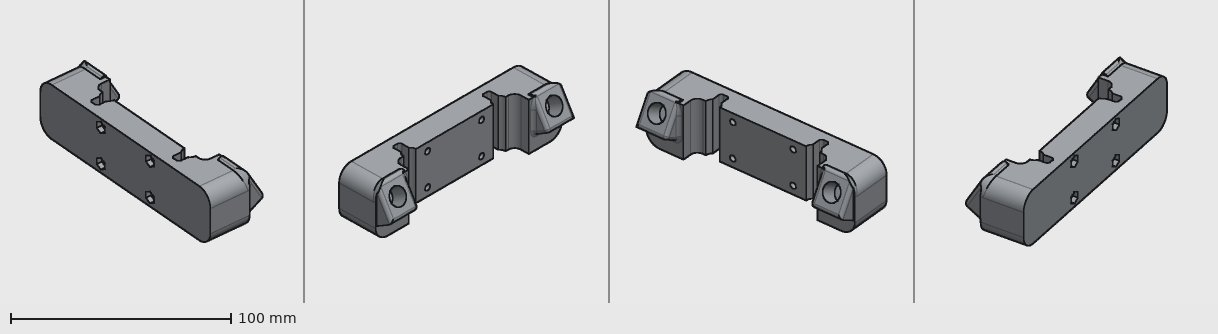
import cadquery as cq
import math

LENGTH = 121.1
BODY_DEPTH = 23.3
BODY_HEIGHT = 29.9
CORNER_RADIUS = 8.0

POCKET_WIDTH = 77.7
POCKET_FLOOR_Y = 14.2
POCKET_RADIUS = 4.0

SLOT_X = 29.1
SLOT_WIDTH = 5.0
SLOT_BOTTOM_Y = 5.2
SLOT_BOTTOM_RADIUS = 1.5
SLOT_MOUTH_DIAMETER = 8.0

HOLE_SPACING_X = 35.0
HOLE_SPACING_Z = 20.0
HOLE_DIAMETER = 3.3
NUT_ACROSS_FLATS = 5.6
NUT_DEPTH = 3.0

LUG_TILT = 30.0
LUG_TOP_Z = 30.9
LUG_BACK_Y = 32.1
LUG_HEIGHT = 20.0
LUG_DEPTH = 17.0
LUG_INNER_X = 41.8
LUG_SIDE_INSET = 0.8
LUG_EDGE_RADIUS = 1.9
LUG_ROOT_RADIUS = 1.9
LUG_HOLE_DIAMETER = 9.8
LUG_HOLE_DEPTH = 10.0

SHOULDER_DEPTH = 3.6

TOLERANCE = 0.1

MID_Z = BODY_HEIGHT / 2
HALF_LENGTH = LENGTH / 2
LUG_HOLE_X = (LUG_INNER_X + HALF_LENGTH - LUG_SIDE_INSET) / 2


def make_body():
    return (
        cq.Workplane("XY")
        .box(LENGTH, BODY_DEPTH, BODY_HEIGHT, centered=(True, False, False))
        .edges("|Y")
        .fillet(CORNER_RADIUS)
    )


def make_pocket():
    depth = BODY_DEPTH - POCKET_FLOOR_Y
    return (
        cq.Workplane("XY")
        .box(POCKET_WIDTH, depth, BODY_HEIGHT, centered=(True, False, False))
        .translate((0, POCKET_FLOOR_Y, 0))
        .edges("|Z and <Y")
        .fillet(POCKET_RADIUS)
    )


def make_slot(x):
    depth = POCKET_FLOOR_Y - SLOT_BOTTOM_Y
    channel = (
        cq.Workplane("XY")
        .box(SLOT_WIDTH, depth, BODY_HEIGHT, centered=(True, False, False))
        .translate((x, SLOT_BOTTOM_Y, 0))
        .edges("|Z and <Y")
        .fillet(SLOT_BOTTOM_RADIUS)
    )
    mouth = (
        cq.Workplane("XY")
        .center(x, POCKET_FLOOR_Y)
        .circle(SLOT_MOUTH_DIAMETER / 2)
        .extrude(BODY_HEIGHT)
    )
    return channel.union(mouth)


def make_screw_hole(x, z):
    front = cq.Workplane("XZ", origin=(x, 0, z))
    corner_diameter = NUT_ACROSS_FLATS / math.cos(math.radians(30))
    hole = front.circle(HOLE_DIAMETER / 2).extrude(-BODY_DEPTH)
    nut_recess = (
        front.transformed(rotate=(0, 0, 30))
        .polygon(6, corner_diameter)
        .extrude(-NUT_DEPTH)
    )
    return hole.union(nut_recess)


def lug_face_center():
    """Return (y, z) of the middle of the lug face, set by the lug's topmost and rearmost points."""
    tilt = math.radians(LUG_TILT)
    arc_spacing = LUG_HEIGHT - 2 * LUG_EDGE_RADIUS
    bottom_arc_y = LUG_BACK_Y - LUG_EDGE_RADIUS
    top_arc_z = LUG_TOP_Z - LUG_EDGE_RADIUS
    y = bottom_arc_y - arc_spacing / 2 * math.sin(tilt) + LUG_EDGE_RADIUS * math.cos(tilt)
    z = top_arc_z - arc_spacing / 2 * math.cos(tilt) + LUG_EDGE_RADIUS * math.sin(tilt)
    return y, z


def lug_face_plane():
    """Plane on the lug face; its X is the part's X, its Y runs down the face, its normal points outward."""
    tilt = math.radians(LUG_TILT)
    y, z = lug_face_center()
    return cq.Plane(
        origin=(0, y, z),
        xDir=(1, 0, 0),
        normal=(0, math.cos(tilt), math.sin(tilt)),
    )


def make_lug_block(outer_x):
    """Plain block behind the +X lug face, from the inner side of the lug out to outer_x."""
    width = outer_x - LUG_INNER_X
    return (
        cq.Workplane("XY")
        .box(width, LUG_HEIGHT, LUG_DEPTH, centered=(False, True, False))
        .translate((LUG_INNER_X, 0, -LUG_DEPTH))
    )


def make_corner_offcut():
    """What the rounding of the lug's outer top corner removes."""
    block = make_lug_block(HALF_LENGTH)
    return block.cut(block.edges("|Z and >X and <Y").fillet(CORNER_RADIUS))


def on_lug_face(part):
    """Move a part built face-up on Z = 0 onto the tilted lug face."""
    return cq.Workplane(part.val().moved(lug_face_plane().location))


def make_lug_nose():
    """The protruding part of the +X lug, blended into a piece of the body's back beside it."""
    nose = on_lug_face(
        make_lug_block(HALF_LENGTH - LUG_SIDE_INSET)
        .edges(">Z or (|Z and <X and >Y)")
        .fillet(LUG_EDGE_RADIUS)
    )
    shoulder = (
        cq.Workplane("XY")
        .box(LUG_HOLE_X - POCKET_WIDTH / 2, SHOULDER_DEPTH, BODY_HEIGHT, centered=False)
        .translate((POCKET_WIDTH / 2, BODY_DEPTH - SHOULDER_DEPTH, 0))
    )
    root_line = cq.selectors.BoxSelector(
        (LUG_INNER_X - TOLERANCE, BODY_DEPTH - TOLERANCE, 0),
        (LUG_INNER_X + TOLERANCE, BODY_DEPTH + TOLERANCE, BODY_HEIGHT),
    )
    return nose.union(shoulder).edges(root_line).fillet(LUG_ROOT_RADIUS)


def make_lug():
    """The lug at the +X end."""
    root_space = (
        cq.Workplane("XY")
        .box(HALF_LENGTH, BODY_DEPTH, LUG_TOP_Z - MID_Z, centered=False)
        .translate((0, 0, MID_Z))
    )
    root = on_lug_face(make_lug_block(HALF_LENGTH).edges(">Z and <Y").fillet(LUG_EDGE_RADIUS))
    lug = make_lug_nose().union(root.intersect(root_space))

    sharp_corner = on_lug_face(make_corner_offcut())
    return lug.cut(sharp_corner)


def make_lug_hole():
    return (
        cq.Workplane(lug_face_plane())
        .center(LUG_HOLE_X, 0)
        .circle(LUG_HOLE_DIAMETER / 2)
        .extrude(-LUG_HOLE_DEPTH)
    )


def both_ends(part):
    return part.union(part.mirror("YZ"))


body = make_body()
body = body.cut(make_pocket())
body = body.cut(both_ends(make_slot(SLOT_X)))
for x in (-HOLE_SPACING_X / 2, HOLE_SPACING_X / 2):
    for z in (MID_Z - HOLE_SPACING_Z / 2, MID_Z + HOLE_SPACING_Z / 2):
        body = body.cut(make_screw_hole(x, z))
body = body.union(both_ends(make_lug()))
result = body.cut(both_ends(make_lug_hole()))